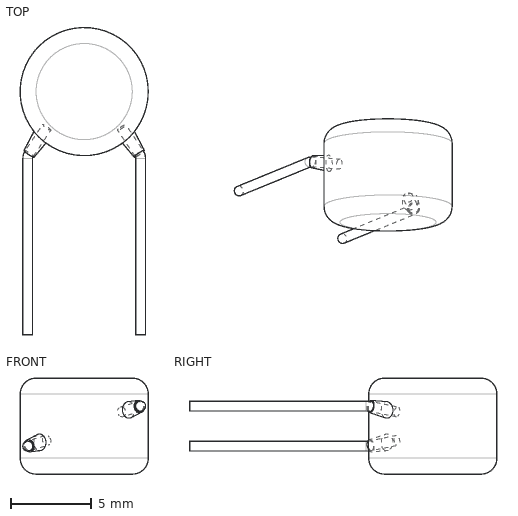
import cadquery as cq
import math

capsule_diameter = 8.0
capsule_height = 6.0
capsule_edge_radius = 1.0

lead_diameter = 0.62
lead_length = 11.0
lead_tip_y = -15.16
lead_offset_x = 3.52
lead_offset_z = 1.25
bend_start_y = lead_tip_y + lead_length
bend_radius = 0.5
bend_angle = math.radians(35)
bend_roll = math.radians(17)
embedded_length = 2.0

sleeve_end_diameter = 0.77
sleeve_taper = math.radians(6)
sleeve_length = embedded_length
sleeve_root_diameter = sleeve_end_diameter + 2 * sleeve_length * math.tan(sleeve_taper)

bend_plane = cq.Plane(
    origin=(-lead_offset_x, bend_start_y, -lead_offset_z),
    xDir=(math.cos(bend_roll), 0, math.sin(bend_roll)),
    normal=(-math.sin(bend_roll), 0, math.cos(bend_roll)),
)


def bend_point(angle):
    """Point on the wire centreline after turning through the angle."""
    return (bend_radius * (1 - math.cos(angle)), bend_radius * math.sin(angle))


def inner_point(along, across=0.0):
    """Point beyond the bend, measured along and to the right of the wire."""
    bend_end_x, bend_end_y = bend_point(bend_angle)
    x = bend_end_x + along * math.sin(bend_angle) + across * math.cos(bend_angle)
    y = bend_end_y + along * math.cos(bend_angle) - across * math.sin(bend_angle)
    return (x, y)


def make_lower_lead():
    path = (
        cq.Workplane(bend_plane)
        .moveTo(0, -lead_length)
        .lineTo(0, 0)
        .threePointArc(bend_point(bend_angle / 2), bend_point(bend_angle))
        .lineTo(*inner_point(embedded_length))
    )
    tip = cq.Workplane("XZ", origin=(-lead_offset_x, lead_tip_y, -lead_offset_z))
    return tip.circle(lead_diameter / 2).sweep(path)


def make_lower_sleeve():
    half_section = [
        inner_point(0),
        inner_point(0, sleeve_end_diameter / 2),
        inner_point(sleeve_length, sleeve_root_diameter / 2),
        inner_point(sleeve_length),
    ]
    return (
        cq.Workplane(bend_plane)
        .polyline(half_section)
        .close()
        .revolve(360, inner_point(0), inner_point(sleeve_length))
    )


def half_turn_pair(lower):
    """The lower shape and its copy turned half a turn about the Y axis."""
    return [lower.rotate((0, 0, 0), (0, 1, 0), turn) for turn in (0, 180)]


def make_capsule(sleeves, leads):
    capsule = (
        cq.Workplane("XY")
        .workplane(offset=-capsule_height / 2)
        .circle(capsule_diameter / 2)
        .extrude(capsule_height)
        .edges("%CIRCLE")
        .fillet(capsule_edge_radius)
    )
    for sleeve in sleeves:
        capsule = capsule.union(sleeve)
    for lead in leads:
        capsule = capsule.cut(lead)
    return capsule


leads = half_turn_pair(make_lower_lead())
capsule = make_capsule(half_turn_pair(make_lower_sleeve()), leads)

result = cq.Compound.makeCompound([capsule.val(), *[lead.val() for lead in leads]])